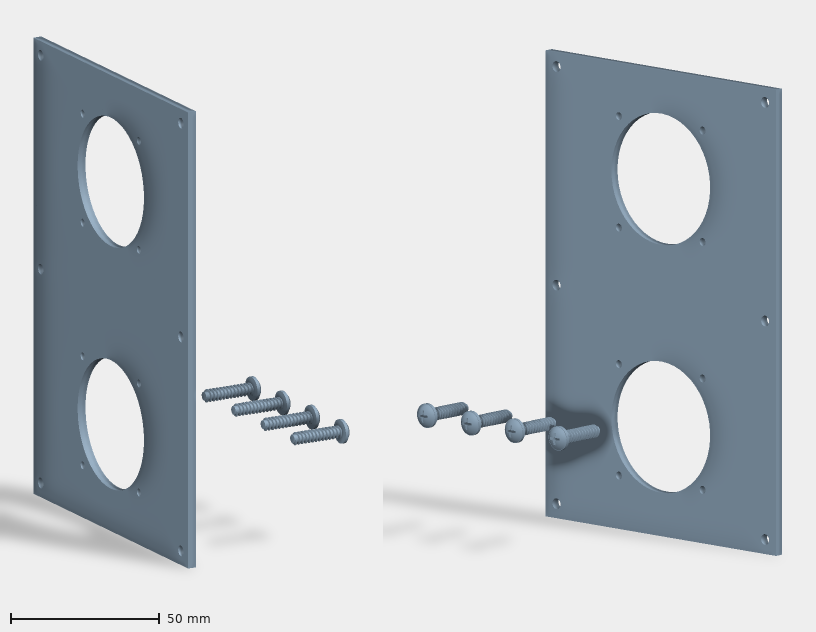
import cadquery as cq
import math

PLATE_WIDTH = 105.0
PLATE_HEIGHT = 159.5
PLATE_THICKNESS = 3.0
PLATE_CENTRE_X = PLATE_WIDTH / 2
PLATE_CENTRE_Z = PLATE_HEIGHT / 2

MOUNTING_HOLE_DIAMETER = 3.7
MOUNTING_HOLE_INSET = 5.0

OPENING_DIAMETER = 45.0
OPENING_SPACING = 84.9
FIXING_HOLE_DIAMETER = 2.7
FIXING_HOLE_SPACING = 38.1

SCREW_COUNT = 4
FIRST_SCREW_X = 50.2
LAST_SCREW_X = 110.2
SCREW_SPACING = (LAST_SCREW_X - FIRST_SCREW_X) / (SCREW_COUNT - 1)
SCREW_Z = 41.3
SCREW_END_Y = 58.7

HEAD_DIAMETER = 8.3
FLANGE_THICKNESS = 1.1
DOME_BASE_DIAMETER = 8.0
DOME_HEIGHT = 1.9
HEAD_HEIGHT = FLANGE_THICKNESS + DOME_HEIGHT

RECESS_LENGTH = 4.1
RECESS_WIDTH = 1.0
RECESS_DEPTH = 1.8

SHANK_LENGTH = 18.3
CORE_DIAMETER = 3.0
THREAD_DIAMETER = 4.5
THREAD_PITCH = 1.34
THREAD_ROOT_WIDTH = 0.6
THREAD_CREST_WIDTH = 0.2
THREAD_OVERLAP = 0.2
PLAIN_TIP_LENGTH = 0.2


def make_plate():
    """Flat panel with six mounting holes and two openings, each ringed by four fixing holes."""
    plate = cq.Workplane("XZ").rect(PLATE_WIDTH, PLATE_HEIGHT).extrude(-PLATE_THICKNESS)

    column_spacing = PLATE_WIDTH - 2 * MOUNTING_HOLE_INSET
    row_spacing = PLATE_CENTRE_Z - MOUNTING_HOLE_INSET
    mounting_holes = (
        cq.Workplane("XZ")
        .rarray(column_spacing, row_spacing, 2, 3)
        .circle(MOUNTING_HOLE_DIAMETER / 2)
        .extrude(-PLATE_THICKNESS)
    )
    plate = plate.cut(mounting_holes)

    for side in (-1, 1):
        centre = cq.Workplane("XZ").center(0, side * OPENING_SPACING / 2)
        opening = centre.circle(OPENING_DIAMETER / 2).extrude(-PLATE_THICKNESS)
        fixing_holes = (
            centre.rect(FIXING_HOLE_SPACING, FIXING_HOLE_SPACING, forConstruction=True)
            .vertices()
            .circle(FIXING_HOLE_DIAMETER / 2)
            .extrude(-PLATE_THICKNESS)
        )
        plate = plate.cut(opening).cut(fixing_holes)

    return plate.translate((PLATE_CENTRE_X, 0, PLATE_CENTRE_Z))


def make_thread():
    """Helical ridge along Z, from just inside the flange down to the plain tip."""
    core_radius = CORE_DIAMETER / 2
    crest_radius = THREAD_DIAMETER / 2
    sunk_radius = core_radius - THREAD_OVERLAP
    bottom = -SHANK_LENGTH + PLAIN_TIP_LENGTH + THREAD_ROOT_WIDTH / 2
    top = THREAD_OVERLAP

    path = cq.Wire.makeHelix(THREAD_PITCH, top - bottom, core_radius)
    ridge = (
        cq.Workplane("XZ")
        .moveTo(sunk_radius, -THREAD_ROOT_WIDTH / 2)
        .lineTo(crest_radius, -THREAD_CREST_WIDTH / 2)
        .lineTo(crest_radius, THREAD_CREST_WIDTH / 2)
        .lineTo(sunk_radius, THREAD_ROOT_WIDTH / 2)
        .close()
        .sweep(cq.Workplane(path), isFrenet=True)
    )
    return ridge.translate((0, 0, bottom))


def make_head():
    """Round flange under a spherical dome that has a cross recess, seated on Z = 0."""
    head_radius = HEAD_DIAMETER / 2
    dome_radius = DOME_BASE_DIAMETER / 2
    sphere_radius = (dome_radius**2 + DOME_HEIGHT**2) / (2 * DOME_HEIGHT)
    arc_middle_x = sphere_radius * math.sin(math.asin(dome_radius / sphere_radius) / 2)
    arc_middle_z = HEAD_HEIGHT - sphere_radius + math.sqrt(sphere_radius**2 - arc_middle_x**2)

    head = (
        cq.Workplane("XZ")
        .lineTo(head_radius, 0)
        .lineTo(head_radius, FLANGE_THICKNESS)
        .lineTo(dome_radius, FLANGE_THICKNESS)
        .threePointArc((arc_middle_x, arc_middle_z), (0, HEAD_HEIGHT))
        .close()
        .revolve(360, (0, 0, 0), (0, 1, 0))
    )
    recess_floor = cq.Workplane("XY").workplane(offset=HEAD_HEIGHT - RECESS_DEPTH)
    for length, width in ((RECESS_LENGTH, RECESS_WIDTH), (RECESS_WIDTH, RECESS_LENGTH)):
        head = head.cut(recess_floor.rect(length, width).extrude(RECESS_DEPTH))
    return head


def make_screw():
    """Pan-head screw with its axis along Y at X = 0 and its head toward +Y."""
    core_top = cq.Workplane("XY").workplane(offset=FLANGE_THICKNESS)
    shank = core_top.circle(CORE_DIAMETER / 2).extrude(-SHANK_LENGTH - FLANGE_THICKNESS)
    shank = shank.union(make_thread(), clean=False)
    screw = make_head().union(shank, clean=False)
    seat_y = SCREW_END_Y - HEAD_HEIGHT
    return screw.rotate((0, 0, 0), (1, 0, 0), -90).translate((0, seat_y, SCREW_Z))


plate = make_plate()
screw = make_screw()
screws = [screw.translate((FIRST_SCREW_X + i * SCREW_SPACING, 0, 0)) for i in range(SCREW_COUNT)]

result = cq.Compound.makeCompound([plate.val(), *[copy.val() for copy in screws]])